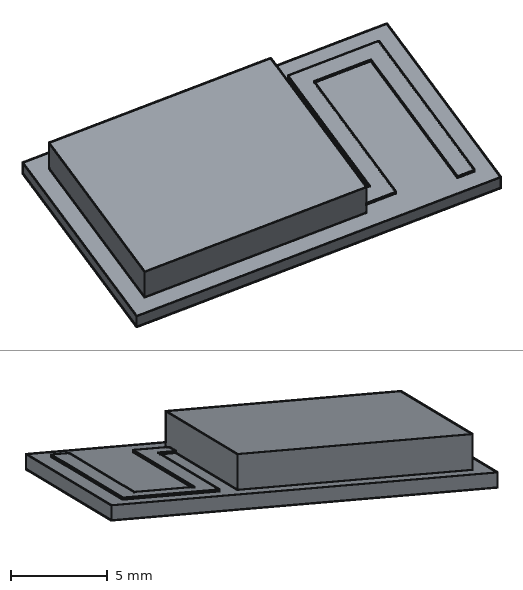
import cadquery as cq

board_width = 12.55
board_length = 21.35
board_thickness = 0.81
total_height = 2.7
edge_margin = 1.0

can_width = board_width - 2 * edge_margin
can_length = 13.0
can_height = total_height - board_thickness

trace_width = 1.0
trace_thickness = 0.1
feed_length = 1.0
feed_inset = 0.51

left = -can_width / 2
right = can_width / 2
can_front = -board_length / 2 + edge_margin
can_back = can_front + can_length
trace_back = board_length / 2 - edge_margin


def antenna():
    """Meandering trace: upper bar, left leg, lower bar and feed."""
    feed_right = right - feed_inset
    feed_left = feed_right - trace_width
    lower_bar_front = can_back + feed_length
    lower_bar_back = lower_bar_front + trace_width
    upper_bar_front = trace_back - trace_width
    leg_right = left + trace_width
    outline = [
        (left, trace_back),
        (right, trace_back),
        (right, upper_bar_front),
        (leg_right, upper_bar_front),
        (leg_right, lower_bar_back),
        (feed_right, lower_bar_back),
        (feed_right, can_back),
        (feed_left, can_back),
        (feed_left, lower_bar_front),
        (left, lower_bar_front),
    ]
    return (
        cq.Workplane("XY")
        .workplane(offset=board_thickness)
        .polyline(outline)
        .close()
        .extrude(trace_thickness)
    )


board = cq.Workplane("XY").box(
    board_width, board_length, board_thickness, centered=(True, True, False)
)
can = cq.Workplane("XY").box(
    can_width, can_length, can_height, centered=(True, False, False)
).translate((0, can_front, board_thickness))

result = board.union(can).union(antenna())